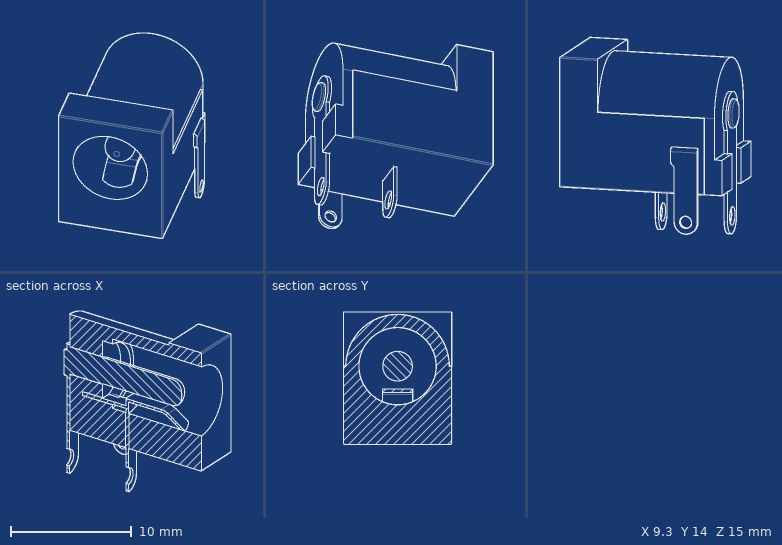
import cadquery as cq
import math


WIDTH = 9.0
HEIGHT = 33 / 3
LENGTH = 42 / 3
FLANGE_DEPTH = 3.3
BLOCK_END = 12.51
REAR_FACE = 13.35
BARREL_RADIUS = 4.3
AXIS_HEIGHT = 6.5
EDGE_FILLET = 0.1
FOOT_HEIGHT = 3.0
FOOT_GAP = 2.61
BORE_RADIUS = 3.2
BORE_DEPTH = 9.0
INNER_BORE_RADIUS = 2.75
INNER_BORE_DEPTH = 10.0

SHEET = 0.3
LUG_BOTTOM = HEIGHT - 15.0
LUG_HOLE_RADIUS = 0.76
LUG_HOLE_HEIGHT = -2.52
LUG_ARC_START = -2.75

PIN_RADIUS = 1.25
PIN_TIP = 2.0
PIN_TIP_FILLET = 0.99
DISC_RADIUS = 1.82
DISC_X = 0.1
DISC_HEIGHT = 6.16
HEAD_RADIUS = 1.22
HEAD_THICKNESS = 0.3
HEAD_FILLET = 0.15
PIN_LUG_WIDTH = 2.73

SPRING_WIDTH = 2.52
SPRING_TOP = 4.6
SPRING_LUG_FRONT = 7.35
RAMP_START = 1.7
RAMP_ANGLE = math.radians(33.3)
BEND_RADIUS = 1.22
ARM_TOP = 3.95
ARM_FRONT = 9.7
ARM_BEND_RADIUS = 0.35
SIDE_LUG_WIDTH = 2.0
SIDE_LUG_REAR = 12.0
SIDE_LUG_BOTTOM = -3.32
SIDE_HOLE_RADIUS = 0.51
SHOULDER_BOTTOM = 2.32


def block(x_min, x_max, y_min, y_max, z_min, z_max):
    """Box between the given limits."""
    size = (x_max - x_min, y_max - y_min, z_max - z_min)
    return cq.Workplane().box(*size, centered=False).translate((x_min, y_min, z_min))


def rod(radius, y_min, y_max, x=0.0, z=AXIS_HEIGHT):
    """Cylinder along Y between two Y positions."""
    profile = cq.Workplane("XZ", origin=(x, y_min, z)).circle(radius)
    return profile.extrude(y_min - y_max)


def upright_lug(x, width, y_min, top):
    """Sheet standing across Y with an arched lower end and a solder hole on X = 0."""
    left = x - width / 2
    right = x + width / 2
    outline = (
        cq.Workplane("XZ", origin=(0, y_min, 0))
        .moveTo(left, top)
        .lineTo(left, LUG_ARC_START)
        .threePointArc((x, LUG_BOTTOM), (right, LUG_ARC_START))
        .lineTo(right, top)
        .close()
    )
    lug = outline.extrude(-SHEET)
    return lug.cut(rod(LUG_HOLE_RADIUS, y_min, y_min + SHEET, z=LUG_HOLE_HEIGHT))


def make_terminal():
    """Centre pin, riveted disc and rear lug."""
    pin = rod(PIN_RADIUS, PIN_TIP, REAR_FACE).faces("<Y").edges().fillet(PIN_TIP_FILLET)
    disc_rear = REAR_FACE + SHEET
    disc = rod(DISC_RADIUS, REAR_FACE, disc_rear, DISC_X, DISC_HEIGHT)
    head = rod(HEAD_RADIUS, disc_rear, disc_rear + HEAD_THICKNESS, DISC_X, DISC_HEIGHT)
    head = head.faces(">Y").edges().fillet(HEAD_FILLET)
    lug = upright_lug(DISC_X, PIN_LUG_WIDTH, REAR_FACE, DISC_HEIGHT)
    return disc.union(lug).union(pin).union(head)


def make_spring_strip():
    """Ramp rising from the bore floor to a flat strip, trimmed to the bore wall."""
    slope = math.tan(RAMP_ANGLE)
    floor = AXIS_HEIGHT - BORE_RADIUS
    bend_y = RAMP_START + (SPRING_TOP - floor) / slope
    inner_bend_y = bend_y + SHEET * math.tan(RAMP_ANGLE / 2)
    rear = SPRING_LUG_FRONT + SHEET
    underside = SPRING_TOP - SHEET
    outline = [
        (0, SPRING_TOP - bend_y * slope),
        (bend_y, SPRING_TOP),
        (rear, SPRING_TOP),
        (rear, underside),
        (inner_bend_y, underside),
        (0, underside - inner_bend_y * slope),
    ]
    strip = cq.Workplane("YZ").polyline(outline).close().extrude(SPRING_WIDTH / 2, both=True)
    strip = strip.edges(cq.NearestToPointSelector((0, bend_y, SPRING_TOP))).fillet(BEND_RADIUS)
    inner_bend = cq.NearestToPointSelector((0, inner_bend_y, underside))
    strip = strip.edges(inner_bend).fillet(BEND_RADIUS - SHEET)
    return strip.intersect(rod(BORE_RADIUS, 0, BORE_DEPTH))


def make_side_lug():
    """Solder lug lying against the +X wall, widened towards -Y by a sloped shoulder."""
    lug_front = SIDE_LUG_REAR - SIDE_LUG_WIDTH
    radius = SIDE_LUG_WIDTH / 2
    centre_y = lug_front + radius
    centre_z = SIDE_LUG_BOTTOM + radius
    shoulder_top = SHOULDER_BOTTOM + lug_front - ARM_FRONT
    outline = (
        cq.Workplane("YZ", origin=(WIDTH / 2, 0, 0))
        .moveTo(ARM_FRONT, ARM_TOP)
        .lineTo(ARM_FRONT, shoulder_top)
        .lineTo(lug_front, SHOULDER_BOTTOM)
        .lineTo(lug_front, centre_z)
        .threePointArc((centre_y, SIDE_LUG_BOTTOM), (SIDE_LUG_REAR, centre_z))
        .lineTo(SIDE_LUG_REAR, ARM_TOP)
        .close()
    )
    hole = cq.Workplane("YZ", origin=(WIDTH / 2, centre_y, centre_z)).circle(SIDE_HOLE_RADIUS)
    return outline.extrude(SHEET).cut(hole.extrude(SHEET))


def make_contact():
    """Spring strip and its lug, joined by a flat arm to the side lug."""
    half = SPRING_WIDTH / 2
    arm_bottom = ARM_TOP - SHEET
    lug = upright_lug(0, SPRING_WIDTH, SPRING_LUG_FRONT, SPRING_TOP)
    tongue = block(-half, half, SPRING_LUG_FRONT, SIDE_LUG_REAR, arm_bottom, ARM_TOP)
    arm = block(-half, WIDTH / 2, ARM_FRONT, SIDE_LUG_REAR, arm_bottom, ARM_TOP)
    side = arm.union(make_side_lug())
    side = side.edges("|Y and >X and >Z").fillet(ARM_BEND_RADIUS)
    return make_spring_strip().union(lug).union(tongue).union(side)


def make_housing(terminal, contact):
    """Flanged block with a barrel and two rear feet, bored and recessed for the metal parts."""
    half = WIDTH / 2
    base = block(-half, half, 0, BLOCK_END, 0, AXIS_HEIGHT)
    body = base.union(block(-half, half, 0, FLANGE_DEPTH, 0, HEIGHT))
    body = body.faces("<Z").edges("|Y").fillet(EDGE_FILLET)
    body = body.faces(">Z").edges("|Y").fillet(EDGE_FILLET)
    body = body.faces("<Y").edges().fillet(EDGE_FILLET)

    rear = block(-BARREL_RADIUS, BARREL_RADIUS, FLANGE_DEPTH, REAR_FACE, 0, AXIS_HEIGHT)
    body = body.union(rear).union(rod(BARREL_RADIUS, FLANGE_DEPTH, REAR_FACE))
    for left in (-BARREL_RADIUS, FOOT_GAP / 2):
        right = left + BARREL_RADIUS - FOOT_GAP / 2
        body = body.union(block(left, right, BLOCK_END, LENGTH, 0, FOOT_HEIGHT))

    body = body.cut(rod(BORE_RADIUS, 0, BORE_DEPTH))
    body = body.cut(rod(INNER_BORE_RADIUS, BORE_DEPTH, INNER_BORE_DEPTH))
    return body.cut(terminal).cut(contact)


pin_terminal = make_terminal()
spring_contact = make_contact()
housing = make_housing(pin_terminal, spring_contact)

bodies = [housing, pin_terminal, spring_contact]
result = cq.Compound.makeCompound([body.solids().val() for body in bodies])